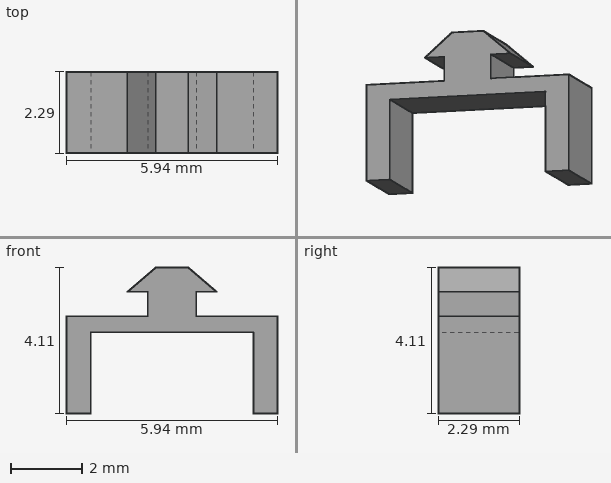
import cadquery as cq

INCH = 25.4
depth = 0.090 * INCH
overall_width = 0.234 * INCH
leg_thickness = 0.027 * INCH
leg_height = 0.090 * INCH
bridge_thickness = 0.018 * INCH
neck_width = 0.054 * INCH
neck_height = 0.027 * INCH
head_width = 0.099 * INCH
head_top_width = 0.036 * INCH
head_height = 0.027 * INCH

bridge_top = leg_height + bridge_thickness
head_bottom = bridge_top + neck_height
head_top = head_bottom + head_height


def make_bridge():
    """U-shaped clip body: a thin bridge standing on two legs."""
    body = cq.Workplane("XY").box(overall_width, depth, bridge_top, centered=(True, True, False))
    opening_width = overall_width - 2 * leg_thickness
    opening = cq.Workplane("XY").box(opening_width, depth, leg_height, centered=(True, True, False))
    return body.cut(opening)


def make_barbed_stud():
    """Neck with a tapered, barbed head, running the full depth of the part."""
    right_side = [
        (neck_width / 2, bridge_top),
        (neck_width / 2, head_bottom),
        (head_width / 2, head_bottom),
        (head_top_width / 2, head_top),
    ]
    left_side = [(-x, z) for x, z in reversed(right_side)]
    profile = cq.Workplane("XZ").polyline(right_side + left_side).close()
    return profile.extrude(depth / 2, both=True)


result = make_bridge().union(make_barbed_stud())